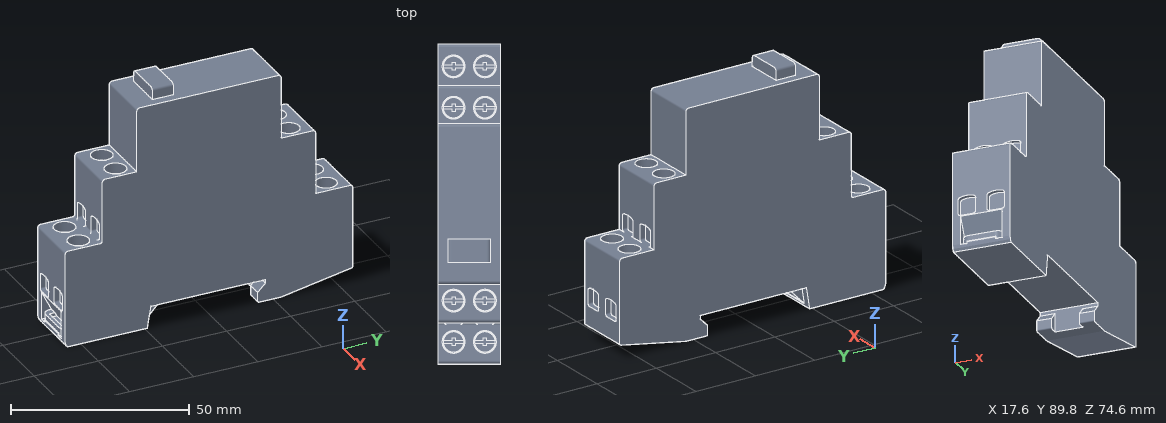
import cadquery as cq


WIDTH = 17.6
LENGTH = 89.8
TOTAL_HEIGHT = 74.6

HALF_LENGTH = LENGTH / 2
HALF_MIDDLE = 33.3
HALF_UPPER = 22.5
UPPER_TOP = 70.9
TIER_RISE = 20.2
MIDDLE_TOP = UPPER_TOP - TIER_RISE
LOWER_TOP = MIDDLE_TOP - TIER_RISE
TIER_EDGE_RADIUS = 1.0
STEP_CORNER_RADIUS = 0.6

RAIL_TOP = 6.7
FRONT_JAW_TOP_Y = -18.1
FRONT_JAW_FOOT_Y = -19.2
FRONT_TOE_HEIGHT = 1.7
FRONT_TOE_KNEE = (-44.6, 0.7)
FRONT_TOE_Y = -44.2
HOOK_Y = 15.2
HOOK_TIP_TOP = 3.2
HOOK_ROOT_Y = 17.6
HOOK_ROOT_Z = 5.7
HOOK_GAP_WIDTH = 8.4
HOOK_FOOT_RADIUS = 0.45
HEEL_Y = 22.45
HEEL_RISE = 4.1
HEEL_RADIUS = 0.7

TERMINAL_X = 4.4
SCREW_ROWS = ((27.0, MIDDLE_TOP), (38.6, LOWER_TOP))
WELL_DIAMETER = 6.4
WELL_DEPTH = 4.1
SCREW_DIAMETER = 5.75
SCREW_HEIGHT = 0.9
DRIVE_DEPTH = 0.6
DRIVE_SLOT_WIDTH = 0.8
DRIVE_CROSS_WIDTH = 1.0
DRIVE_CROSS_LENGTH = 2.1

ENTRY_WIDTH = 5.3
ENTRY_HEIGHT = 5.8
ENTRY_ARCH_RISE = 0.5
ENTRY_CORNER_RADIUS = 0.7
ENTRY_DEPTH = 1.8
ENTRY_DROP = 19.9
UPPER_ENTRY_Z = LOWER_TOP
LOWER_ENTRY_Z = UPPER_ENTRY_Z - ENTRY_DROP
ENTRY_ROWS = ((HALF_MIDDLE, UPPER_ENTRY_Z), (HALF_LENGTH, LOWER_ENTRY_Z))

POCKET_WIDTH = 12.6
POCKET_FLOOR = FRONT_TOE_HEIGHT
POCKET_TOP = 10.3
POCKET_DEPTH = 4.3
SLIDER_TOP = 4.1
SLIDER_RECESS = 0.3
SLIDER_CORNER_RADIUS = 2.25
NOTCH_WIDTH = 8.1
NOTCH_FLOOR = 3.0
NOTCH_WALL = 1.2
LIP_WIDTH = 8.8
LIP_TOP = 2.3
LATCH_TIP_Y = -13.8
LATCH_TOP = 6.4
LATCH_FOOT_Y = -19.0
LATCH_FOOT_Z = 0.8

BUTTON_WIDTH = 12.0
BUTTON_LENGTH = 6.6
BUTTON_Y = -13.0
BUTTON_EDGE_RADIUS = 1.1


def extrude_across(outline, width):
    """Extrude a closed Y-Z outline symmetrically along X."""
    return outline.close().extrude(width / 2, both=True)


def block(width, length, bottom, top, y=0.0, x=0.0):
    """Box centred on (x, y) between two heights."""
    return cq.Workplane("XY", origin=(x, y, bottom)).rect(width, length).extrude(top - bottom)


def fillet_cross_edge(body, y, z, radius):
    """Round the edge along X that runs through the point (y, z)."""
    return body.edges(cq.selectors.NearestToPointSelector((0, y, z))).fillet(radius)


def make_housing():
    outline = cq.Workplane("YZ").polyline([
        (FRONT_JAW_TOP_Y, RAIL_TOP),
        (FRONT_JAW_FOOT_Y, 0),
        (FRONT_TOE_Y, 0),
        FRONT_TOE_KNEE,
        (-HALF_LENGTH, FRONT_TOE_HEIGHT),
        (-HALF_LENGTH, LOWER_TOP),
        (-HALF_MIDDLE, LOWER_TOP),
        (-HALF_MIDDLE, MIDDLE_TOP),
        (-HALF_UPPER, MIDDLE_TOP),
        (-HALF_UPPER, UPPER_TOP),
        (HALF_UPPER, UPPER_TOP),
        (HALF_UPPER, MIDDLE_TOP),
        (HALF_MIDDLE, MIDDLE_TOP),
        (HALF_MIDDLE, LOWER_TOP),
        (HALF_LENGTH, LOWER_TOP),
        (HALF_LENGTH, HEEL_RISE),
        (HEEL_Y, 0),
        (HOOK_Y, 0),
        (HOOK_Y, HOOK_TIP_TOP),
        (HOOK_ROOT_Y, HOOK_ROOT_Z),
        (HOOK_ROOT_Y, RAIL_TOP),
    ])
    housing = extrude_across(outline, WIDTH)
    tiers = ((HALF_UPPER, UPPER_TOP), (HALF_MIDDLE, MIDDLE_TOP), (HALF_LENGTH, LOWER_TOP))
    for half_length, top in tiers:
        for y in (-half_length, half_length):
            housing = fillet_cross_edge(housing, y, top, TIER_EDGE_RADIUS)
    housing = fillet_cross_edge(housing, -HALF_MIDDLE, LOWER_TOP, STEP_CORNER_RADIUS)
    housing = fillet_cross_edge(housing, HALF_LENGTH, HEEL_RISE, HEEL_RADIUS)
    housing = fillet_cross_edge(housing, HOOK_Y, 0, HOOK_FOOT_RADIUS)
    hook_gap_y = (HOOK_ROOT_Y + HOOK_Y) / 2
    hook_gap = block(HOOK_GAP_WIDTH, HOOK_ROOT_Y - HOOK_Y, 0, RAIL_TOP, hook_gap_y)
    return housing.cut(hook_gap)


def make_button():
    button = block(BUTTON_WIDTH, BUTTON_LENGTH, UPPER_TOP, TOTAL_HEIGHT, y=BUTTON_Y)
    return button.edges(">Z and |Y").fillet(BUTTON_EDGE_RADIUS)


def make_screw(x, y, floor):
    """Screw head with a straight slot crossed by a short slot."""
    head_top = floor + SCREW_HEIGHT
    drive_floor = head_top - DRIVE_DEPTH
    head = cq.Workplane("XY", origin=(x, y, floor)).circle(SCREW_DIAMETER / 2).extrude(SCREW_HEIGHT)
    slot = block(SCREW_DIAMETER, DRIVE_SLOT_WIDTH, drive_floor, head_top, y, x)
    cross = block(DRIVE_CROSS_WIDTH, DRIVE_CROSS_LENGTH, drive_floor, head_top, y, x)
    return head.cut(slot).cut(cross)


def add_screw_terminal(body, x, y, top):
    floor = top - WELL_DEPTH
    well = cq.Workplane("XY", origin=(x, y, floor)).circle(WELL_DIAMETER / 2).extrude(WELL_DEPTH)
    return body.cut(well).union(make_screw(x, y, floor))


def make_wire_entry(x, half_length, bottom):
    """Arched recess on the -Y wall of a tier; it runs out past the wall over the step."""
    half_width = ENTRY_WIDTH / 2
    shoulder = ENTRY_HEIGHT - ENTRY_ARCH_RISE
    wall = cq.Workplane("XZ", origin=(x, ENTRY_DEPTH - half_length, bottom))
    entry = (
        wall.moveTo(-half_width, 0)
        .lineTo(half_width, 0)
        .lineTo(half_width, shoulder)
        .threePointArc((0, ENTRY_HEIGHT), (-half_width, shoulder))
        .close()
        .extrude(ENTRY_DEPTH + STEP_CORNER_RADIUS)
    )
    return entry.edges("|Y").fillet(ENTRY_CORNER_RADIUS)


def make_pocket():
    """Pocket whose roof slopes inward and down from the front face."""
    outline = cq.Workplane("YZ").polyline([
        (-HALF_LENGTH, POCKET_FLOOR),
        (-HALF_LENGTH, POCKET_TOP),
        (-HALF_LENGTH + POCKET_DEPTH, POCKET_FLOOR),
    ])
    return extrude_across(outline, POCKET_WIDTH)


def make_slider():
    front = -HALF_LENGTH + SLIDER_RECESS
    back = -HALF_LENGTH + POCKET_DEPTH
    slider = block(POCKET_WIDTH, back - front, POCKET_FLOOR, SLIDER_TOP, (front + back) / 2)
    slider = slider.edges("<Y and |Z").fillet(SLIDER_CORNER_RADIUS)
    notch_front = front + NOTCH_WALL
    notch = block(NOTCH_WIDTH, back - notch_front, NOTCH_FLOOR, SLIDER_TOP, (notch_front + back) / 2)
    lip = block(LIP_WIDTH, back + HALF_LENGTH, POCKET_FLOOR, LIP_TOP, (back - HALF_LENGTH) / 2)
    return slider.cut(notch).union(lip)


def make_latch():
    """Wedge of the slider that reaches into the rail recess."""
    outline = cq.Workplane("YZ").polyline([
        (LATCH_TIP_Y, LATCH_TOP),
        (LATCH_FOOT_Y, LATCH_FOOT_Z),
        (FRONT_JAW_FOOT_Y, LATCH_TOP),
    ])
    return extrude_across(outline, POCKET_WIDTH)


result = make_housing().union(make_button())

for column_x in (-TERMINAL_X, TERMINAL_X):
    for row_y, tier_top in SCREW_ROWS:
        result = add_screw_terminal(result, column_x, row_y, tier_top)
        result = add_screw_terminal(result, column_x, -row_y, tier_top)
    for wall_y, entry_z in ENTRY_ROWS:
        wire_entry = make_wire_entry(column_x, wall_y, entry_z)
        result = result.cut(wire_entry).cut(wire_entry.mirror("XZ"))

result = result.cut(make_pocket()).union(make_slider()).union(make_latch())